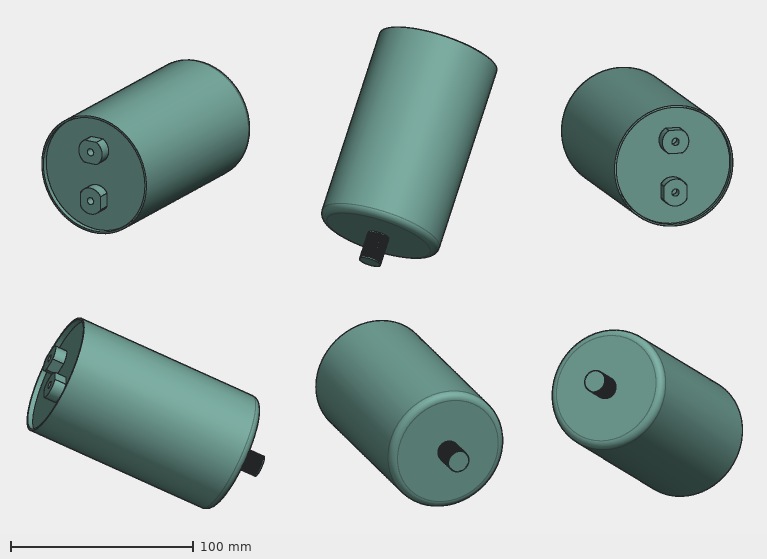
import cadquery as cq

total_length = 130.0
stud_tip = total_length / 2
terminal_tip = -total_length / 2

can_diameter = 67.6
shoulder_radius = 4.0
rim_wall = 1.0
recess_depth = 3.0
terminal_protrusion = 3.8
stud_length = 16.0
can_rim = terminal_tip + terminal_protrusion
recess_floor = can_rim + recess_depth
can_base = stud_tip - stud_length

thread_diameter = 12.1
thread_depth = 0.1
thread_pitch = 1.3
ridge_width = thread_pitch / 2
ridge_count = 11
tip_land_width = 0.9

terminal_diameter = 15.1
terminal_across_flats = 13.0
terminal_spacing = 28.5
terminal_hole_diameter = 4.0
terminal_height = recess_floor - terminal_tip
terminal_hole_depth = 5.2


def cylinder_along_y(diameter, start, end):
    """Solid cylinder on the Y axis, from y = start to y = end."""
    return cq.Workplane("XZ", origin=(0, start, 0)).circle(diameter / 2).extrude(start - end)


def make_can():
    """Cylinder with a rounded shoulder at its base and a shallow recess inside its rim."""
    can = cylinder_along_y(can_diameter, can_rim, can_base)
    can = can.faces(">Y").edges().fillet(shoulder_radius)
    recess = cylinder_along_y(can_diameter - 2 * rim_wall, can_rim, recess_floor)
    return can.cut(recess)


def make_stud():
    """Core with a land at the tip and evenly spaced thread ridges behind it."""
    stud = cylinder_along_y(thread_diameter - 2 * thread_depth, can_base, stud_tip)
    tip_land_start = stud_tip - tip_land_width
    stud = stud.union(cylinder_along_y(thread_diameter, tip_land_start, stud_tip))
    for i in range(1, ridge_count + 1):
        ridge_start = tip_land_start - i * thread_pitch
        stud = stud.union(cylinder_along_y(thread_diameter, ridge_start, ridge_start + ridge_width))
    return stud


def make_terminal(z, flats_angle):
    """Post standing on the recess floor at height z.

    Its flats face along X when flats_angle, in degrees about Y, is zero.
    """
    post = cylinder_along_y(terminal_diameter, terminal_tip, recess_floor)
    middle = (terminal_tip + recess_floor) / 2
    between_flats = cq.Workplane("XY", origin=(0, middle, 0)).box(
        terminal_across_flats, terminal_height, terminal_diameter
    )
    hole = cylinder_along_y(terminal_hole_diameter, terminal_tip, terminal_tip + terminal_hole_depth)
    post = post.intersect(between_flats).cut(hole)
    return post.rotate((0, 0, 0), (0, 1, 0), flats_angle).translate((0, 0, z))


can = make_can()
stud = make_stud()

terminals = []
for side, flats_angle in ((1, 90), (-1, 0)):
    terminal = make_terminal(side * terminal_spacing / 2, flats_angle)
    terminals.append(terminal.val())

result = cq.Compound.makeCompound([can.val(), stud.val(), *terminals])